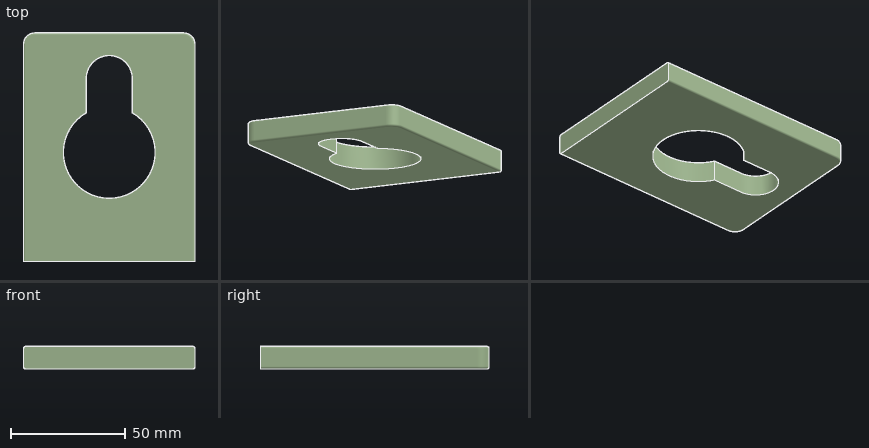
import cadquery as cq

width = 75.0
length = 100.0
thickness = 10.0
corner_radius = 5.0
edge_radius = 1.0

head_diameter = 40.0
slot_width = 20.0
top_margin = 10.0
head_to_slot_end = 32.3

slot_end_y = length / 2 - top_margin - slot_width / 2
head_y = slot_end_y - head_to_slot_end


def make_plate():
    """Plate with two rounded corners; all rims but the square -Y end are rounded."""
    plate = cq.Workplane("XY").box(width, length, thickness)
    plate = plate.edges("|Z and >Y").fillet(corner_radius)
    rims = plate.faces("<Z or >Z").edges("not <Y")
    return rims.fillet(edge_radius)


def make_keyhole():
    """Cutter for the round head and the narrow slot leading from it toward +Y."""
    head = cq.Workplane("XY").center(0, head_y).circle(head_diameter / 2)
    head = head.extrude(thickness, both=True)
    neck = cq.Workplane("XY").center(0, (head_y + slot_end_y) / 2)
    neck = neck.slot2D(head_to_slot_end + slot_width, slot_width, 90)
    return head.union(neck.extrude(thickness, both=True))


result = make_plate().cut(make_keyhole())